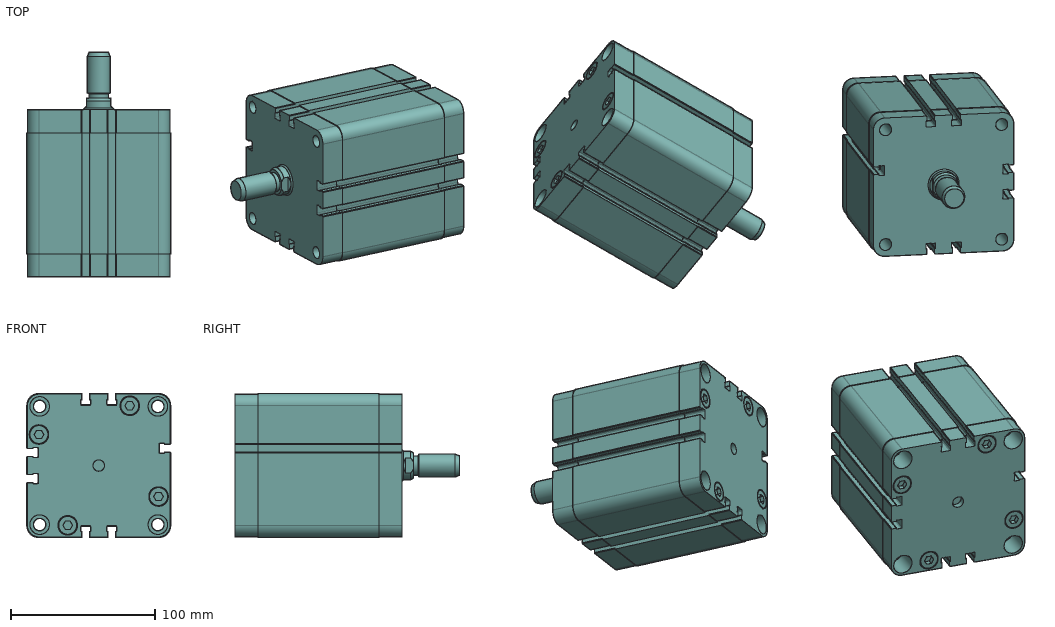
import cadquery as cq
import math


total_length = 156.0
rod_reach = 40.0
body_length = total_length - rod_reach
cover_length = 16.0
barrel_length = body_length - 2 * cover_length

barrel_width = 100.0
cover_width = 99.0
cover_corner_radius = 8.0
cover_step = (barrel_width - cover_width) / 2
barrel_corner_radius = cover_corner_radius + cover_step

slot_offset = 9.0
single_slot_offset = 12.0
slot_mouth_width = 5.5
slot_inner_width = 6.9
slot_depth = 7.8
slot_lip = 3.9
slot_floor_radius = 0.6
mouth_chamfer = 0.5

mount_offset = 41.0
mount_hole_diameter = 8.5
mount_bore_diameter = 13.5
mount_bore_depth = 18.7

screw_x = 21.5
screw_z = 41.5
screw_recess_diameter = 13.5
screw_head_diameter = 12.5
screw_head_height = 4.7
socket_across_flats = 5.8
socket_depth = 3.9

center_hole_diameter = 8.0
center_hole_depth = 4.7

rod_diameter = 20.0
rod_shoulder = 8.0
rod_chamfer_length = 2.0
rod_chamfer_angle = 30.0
root_diameter = 22.0
wrench_flats = 17.0
neck_diameter = 13.5
neck_length = 3.0
thread_diameter = 16.0
thread_start_taper = 0.8
thread_tip_chamfer = 3.1


def square_block(width, corner_radius, start, length):
    """Square prism along Y with rounded long edges."""
    block = cq.Workplane("XY").box(width, length, width)
    return block.edges("|Y").fillet(corner_radius).translate((0, start + length / 2, 0))


def slot(face_offset, start, length, chamfered):
    """Cutter for one slot in the +Z face at face_offset from the axis."""
    def bar(width, low, high):
        box = cq.Workplane("XY").box(width, length, high - low)
        return box.translate((0, start + length / 2, (low + high) / 2))

    floor = face_offset - slot_depth
    chamber = bar(slot_inner_width, floor, face_offset - slot_lip)
    chamber = chamber.faces("<Z").edges("|Y").fillet(slot_floor_radius)
    cutter = chamber.union(bar(slot_mouth_width, face_offset - slot_lip, face_offset))
    if chamfered:
        half_mouth = slot_mouth_width / 2
        flare = (
            cq.Workplane("XZ", origin=(0, start + length, 0))
            .moveTo(-half_mouth, face_offset - mouth_chamfer)
            .lineTo(half_mouth, face_offset - mouth_chamfer)
            .lineTo(half_mouth + mouth_chamfer, face_offset)
            .lineTo(-half_mouth - mouth_chamfer, face_offset)
            .close()
            .extrude(length)
        )
        cutter = cutter.union(flare)
    return cutter


def cylinder(diameter, depth, x=0.0, z=0.0):
    """Cylinder going into the part from the rear face."""
    return cq.Workplane("XZ").center(x, z).circle(diameter / 2).extrude(-depth)


def screw_gap(x, z):
    """Ring around a flush screw head, plus its hexagon socket."""
    ring = cylinder(screw_recess_diameter, screw_head_height, x, z)
    ring = ring.cut(cylinder(screw_head_diameter, screw_head_height, x, z))
    across_corners = socket_across_flats / math.cos(math.pi / 6)
    socket = cq.Workplane("XZ").center(x, z).polygon(6, across_corners).extrude(-socket_depth)
    return ring.union(socket)


def piston_rod():
    """Turned rod with thread spigot and two wrench flats facing +X and -X."""
    rod_radius = rod_diameter / 2
    neck_radius = neck_diameter / 2
    thread_radius = thread_diameter / 2
    root_radius = root_diameter / 2
    shoulder_y = body_length + rod_shoulder
    thread_y = shoulder_y + neck_length
    chamfer_drop = rod_chamfer_length * math.tan(math.radians(rod_chamfer_angle))
    rod = (
        cq.Workplane("XY")
        .moveTo(0, body_length - cover_length)
        .lineTo(root_radius, body_length - cover_length)
        .lineTo(root_radius, body_length)
        .lineTo(rod_radius, body_length + root_radius - rod_radius)
        .lineTo(rod_radius, shoulder_y - rod_chamfer_length)
        .lineTo(rod_radius - chamfer_drop, shoulder_y)
        .lineTo(neck_radius, shoulder_y)
        .lineTo(neck_radius, thread_y)
        .lineTo(thread_radius, thread_y + thread_start_taper)
        .lineTo(thread_radius, total_length - thread_tip_chamfer)
        .lineTo(neck_radius, total_length)
        .lineTo(0, total_length)
        .close()
        .revolve(360, (0, 0, 0), (0, 1, 0))
    )
    half_flats = wrench_flats / 2
    flat_cut = (
        cq.Workplane("XY", origin=(0, 0, -root_radius))
        .moveTo(half_flats, shoulder_y)
        .lineTo(half_flats, body_length + root_radius - half_flats)
        .lineTo(root_radius, body_length)
        .lineTo(root_radius, shoulder_y)
        .close()
        .extrude(root_diameter)
    )
    return rod.cut(flat_cut).cut(flat_cut.mirror("YZ"))


front_cover_y = cover_length + barrel_length
body = square_block(barrel_width, barrel_corner_radius, cover_length, barrel_length)
for cover_y in (0, front_cover_y):
    body = body.union(square_block(cover_width, cover_corner_radius, cover_y, cover_length))

slots = [
    (0, slot_offset, False),
    (0, -slot_offset, False),
    (180, slot_offset, False),
    (180, -slot_offset, False),
    (-90, slot_offset, True),
    (-90, -slot_offset, True),
    (90, -single_slot_offset, True),
]
for turn, shift, barrel_chamfered in slots:
    sections = [
        (cover_width / 2, 0, cover_length, True),
        (barrel_width / 2, cover_length, barrel_length, barrel_chamfered),
        (cover_width / 2, front_cover_y, cover_length, True),
    ]
    for face_offset, start, length, chamfered in sections:
        cutter = slot(face_offset, start, length, chamfered).translate((shift, 0, 0))
        body = body.cut(cutter.rotate((0, 0, 0), (0, 1, 0), turn))

for x_side in (-1, 1):
    for z_side in (-1, 1):
        x = x_side * mount_offset
        z = z_side * mount_offset
        body = body.cut(cylinder(mount_hole_diameter, body_length, x, z))
        body = body.cut(cylinder(mount_bore_diameter, mount_bore_depth, x, z))
for x, z in ((screw_x, screw_z), (screw_z, -screw_x), (-screw_x, -screw_z), (-screw_z, screw_x)):
    body = body.cut(screw_gap(x, z))
body = body.cut(cylinder(center_hole_diameter, center_hole_depth))

result = body.union(piston_rod())